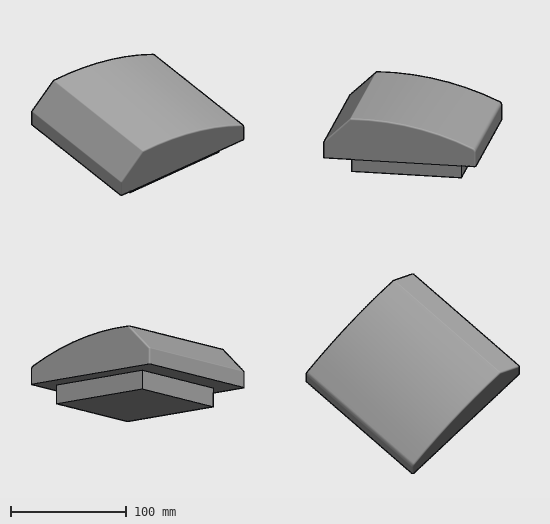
import cadquery as cq
import math

width = 129.0
length = 134.0
height = 54.0

plinth_side = 96.5
plinth_height = 16.6
plinth_center_y = 3.2

front_wall_height = 14.2
ridge_y = -43.1
crown_y = -33.5
crown_radius = 241.2
edge_radius = 1.5
back_edge_radius = 4.0

front_y = -length / 2
back_y = length / 2
front_wall_top = plinth_height + front_wall_height


def crown_height(y):
    """Height of the arched top at y; the arch peaks at crown_y."""
    return height - crown_radius + math.sqrt(crown_radius**2 - (y - crown_y) ** 2)


ridge_top = crown_height(ridge_y)
back_wall_top = crown_height(back_y)


def make_body():
    """Wedge-like body with a sloped front and an arched top, rounded above its flat base."""
    profile = (
        cq.Workplane("YZ")
        .moveTo(front_y, plinth_height)
        .lineTo(front_y, front_wall_top)
        .lineTo(ridge_y, ridge_top)
        .threePointArc((crown_y, height), (back_y, back_wall_top))
        .lineTo(back_y, plinth_height)
        .close()
    )
    body = profile.extrude(width / 2, both=True)
    back_edge = cq.selectors.NearestToPointSelector((0, back_y, back_wall_top))
    body = body.edges(back_edge).fillet(back_edge_radius)
    return body.edges("not(<Z)").fillet(edge_radius)


def make_plinth():
    """Square block centred across the width."""
    return (
        cq.Workplane("XY")
        .center(0, plinth_center_y)
        .rect(plinth_side, plinth_side)
        .extrude(plinth_height)
    )


result = make_body().union(make_plinth())